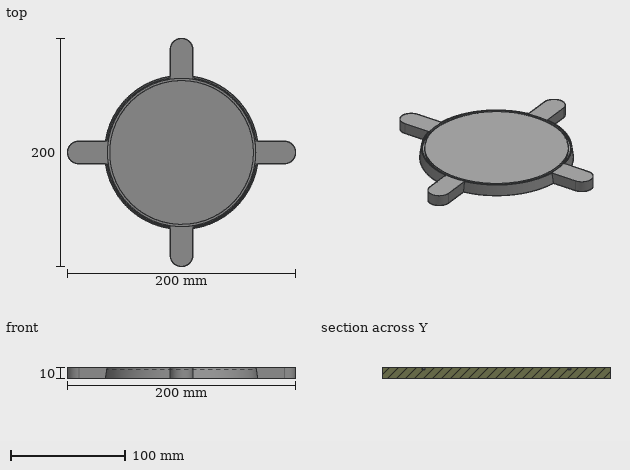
import cadquery as cq

span = 200.0
thickness = 10.0
arm_width = 20.0
arm_count = 4
base_diameter = 135.0
top_diameter = 132.0
groove_outer_diameter = 130.0
groove_inner_diameter = 126.0
groove_depth = 2.0


def tapered_disc():
    """Round plate whose side narrows evenly from the base to the top."""
    return (
        cq.Workplane("XY")
        .circle(base_diameter / 2)
        .workplane(offset=thickness)
        .circle(top_diameter / 2)
        .loft(ruled=True)
    )


def round_ended_bar(angle):
    """Bar through the centre that forms two opposite arms."""
    return cq.Workplane("XY").slot2D(span, arm_width, angle).extrude(thickness)


def ring_groove():
    """Ring-shaped cutter for the groove in the top face."""
    return (
        cq.Workplane("XY")
        .workplane(offset=thickness - groove_depth)
        .circle(groove_outer_diameter / 2)
        .circle(groove_inner_diameter / 2)
        .extrude(groove_depth)
    )


result = tapered_disc()
for index in range(arm_count // 2):
    result = result.union(round_ended_bar(index * 360 / arm_count))
result = result.cut(ring_groove())